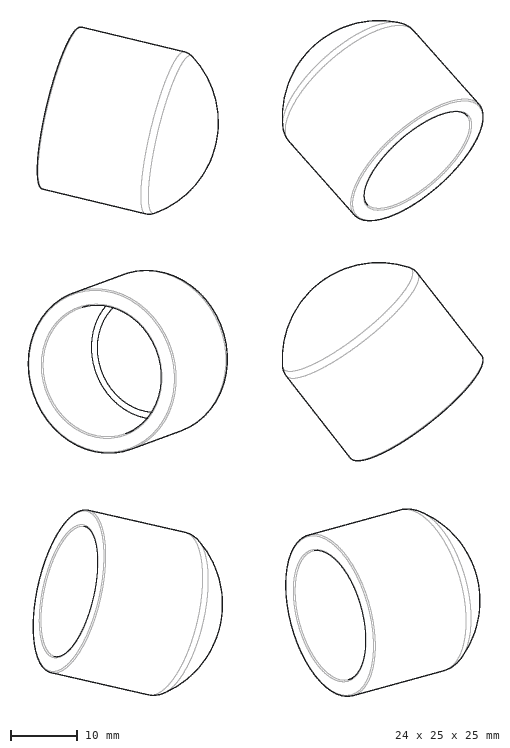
import cadquery as cq
import math

outer_diameter = 25.0
bore_diameter = 20.0
overall_length = 24.0
dome_radius = 14.5
wall_thickness = 3.5
shoulder_fillet = 2.0
rim_fillet = 0.2

outer_radius = outer_diameter / 2
bore_radius = bore_diameter / 2

dome_center = overall_length - dome_radius
cavity_radius = dome_radius - wall_thickness
mouth_radius = outer_radius - wall_thickness
bore_depth = dome_center + math.sqrt(cavity_radius**2 - mouth_radius**2)


def arc_point(center, radius, angle):
    """Point (x, r) on a circle, with the angle measured from the +X axis."""
    return (center[0] + radius * math.cos(angle), center[1] + radius * math.sin(angle))


def revolve_about_x(profile):
    """Full revolution of a closed XY profile about the X axis."""
    return profile.revolve(360, (0, 0, 0), (1, 0, 0))


def outer_body():
    """Solid cylinder with a domed end, blended by a tangent fillet."""
    fillet_center_radius = outer_radius - shoulder_fillet
    center_distance = dome_radius - shoulder_fillet
    blend_angle = math.asin(fillet_center_radius / center_distance)
    fillet_center = arc_point((dome_center, 0), center_distance, blend_angle)
    fillet_mid_angle = (blend_angle + math.pi / 2) / 2

    profile = (
        cq.Workplane("XY")
        .lineTo(0, outer_radius)
        .lineTo(fillet_center[0], outer_radius)
        .threePointArc(
            arc_point(fillet_center, shoulder_fillet, fillet_mid_angle),
            arc_point((dome_center, 0), dome_radius, blend_angle),
        )
        .threePointArc(
            arc_point((dome_center, 0), dome_radius, blend_angle / 2),
            (overall_length, 0),
        )
        .close()
    )
    return revolve_about_x(profile)


def cavity():
    """Bore with a flat ledge and a spherical end."""
    mouth_angle = math.asin(mouth_radius / cavity_radius)

    profile = (
        cq.Workplane("XY")
        .lineTo(0, bore_radius)
        .lineTo(bore_depth, bore_radius)
        .lineTo(bore_depth, mouth_radius)
        .threePointArc(
            arc_point((dome_center, 0), cavity_radius, mouth_angle / 2),
            (dome_center + cavity_radius, 0),
        )
        .close()
    )
    return revolve_about_x(profile)


result = outer_body().cut(cavity()).faces("<X").edges().fillet(rim_fillet)